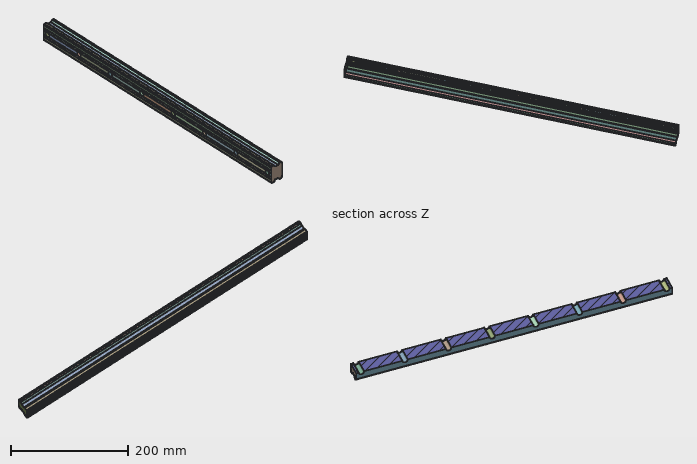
import cadquery as cq

length = 580.0
height = 26.0
width = 34.0
side = width / 2

hole_count = 8
hole_pitch = 80.0
hole_diameter = 9.0

base_chamfer = 2.0
base_side_top = 7.0
waist_bottom = 10.0
waist_top = 16.0
head_side_bottom = 20.0
head_side_top = 23.0

waist_depth = 3.5
waist = side - waist_depth
waist_lip = 0.5

groove_sag = 0.5
head_top_half_width = side - (height - head_side_top)

relief_inner = 4.0
relief_outer = 9.0
relief_depth = 0.5


def rail_body():
    """Section of the +Z half, extruded along X and mirrored to the -Z half."""
    half = (
        cq.Workplane("YZ")
        .lineTo(0, side - base_chamfer)
        .lineTo(base_chamfer, side)
        .lineTo(base_side_top, side)
        .lineTo(waist_bottom, waist)
        .lineTo(waist_top, waist)
        .lineTo(waist_top, waist + waist_lip)
        .sagittaArc((head_side_bottom, side), -groove_sag)
        .lineTo(head_side_top, side)
        .sagittaArc((height, head_top_half_width), -groove_sag)
        .lineTo(height, 0)
        .close()
        .extrude(length / 2, both=True)
    )
    return half.union(half.mirror("XY"))


def relief_grooves():
    centre = (relief_inner + relief_outer) / 2
    return (
        cq.Workplane("XZ")
        .pushPoints([(0, centre), (0, -centre)])
        .rect(length, relief_outer - relief_inner)
        .extrude(-relief_depth)
    )


def mounting_holes():
    holes = cq.Workplane("XZ").rarray(hole_pitch, 6, hole_count, 1).circle(hole_diameter / 2)
    return holes.extrude(-height)


result = rail_body().cut(relief_grooves()).cut(mounting_holes())